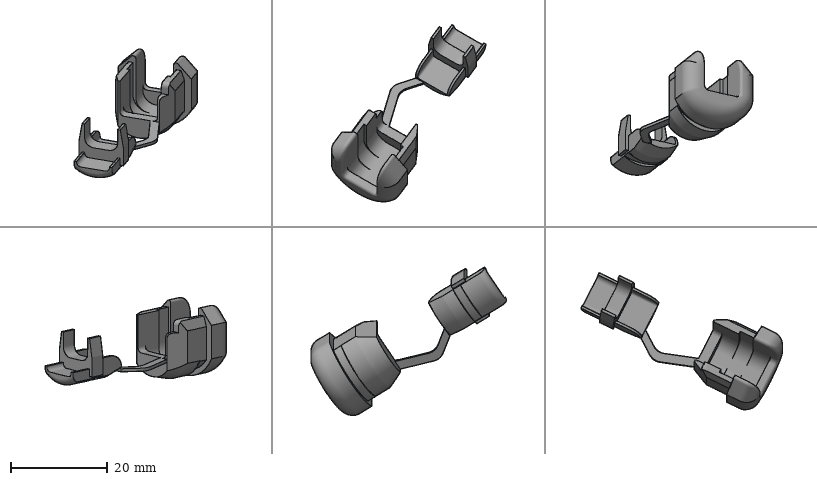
import cadquery as cq
import math


flange_front = 5.95
socket_taper_start = 11.4
socket_front = 15.3
plug_rear = 27.85
plug_taper_end = 31.3
wing_rear = 33.9
wing_front = 37.05
plug_front = 41.75

flange_half_width = 8.15
shoulder_z = 12.02
flange_arc_radius = 8.98
flange_arc_x = 0.15
left_corner_radius = 3.2
flange_round = 2.95
slot_edge_radius = 0.6

socket_half_width = 6.65
socket_top_half_width = 5.85
socket_front_half_width = 4.6
socket_top = 13.6
socket_chamfer_z = 11.5
socket_axis_z = 7.47
socket_radius = 7.25
socket_front_radius = 6.25
socket_groove_front = 7.85
socket_groove_z = 1.2
socket_groove_radius = 8.5

channel_half_width = 4.18
channel_radius = 1.0
cavity_floor = 2.6
cavity_rear = 1.95
cavity_front = 13.15
cavity_flat_half_width = 1.2
recess_half_width = 4.85
recess_front = 9.3

notch_depth = 13.05
notch_z = 11.2
notch_radius = 1.0

strap_bottom = 5.0
strap_thickness = 0.65
strap_top = strap_bottom + strap_thickness
strap_width_x = 2.0
strap_rear_x = 2.55
strap_bend_x = 5.25
strap_bend_depth = 23.5
strap_front_x = 2.05
strap_bend_radius = 2.92

plug_half_width = 4.2
plug_inner_half_width = 3.67
plug_axis_z = 11.2
plug_radius = 7.47
plug_rear_radius = 6.55
plug_nose_radius = 1.4
plug_floor = 6.1
plug_rear_top = 8.95
plug_front_top = 7.2
plug_rear_round = 2.95
plug_rear_fillet = 0.45
plug_front_fillet = 0.95
plug_groove_front = 35.75
plug_groove_z = 4.25
plug_groove_radius = 11.2

wing_half_width = 4.93
wing_top_half_width = 4.25
wing_bottom = 5.55
wing_kink_z = 9.73
wing_top = 13.7
wing_floor = 8.55
wing_fillet = 2.0

reach = 25.05


def section(depth):
    """Cross-section plane (X right, Z up) at a depth; extrusion goes towards -Y."""
    return cq.Workplane("XZ", origin=(0, -depth, 0))


def block(half_width, bottom, top, rear, front):
    return (
        section(rear)
        .center(0, (bottom + top) / 2)
        .rect(2 * half_width, top - bottom)
        .extrude(front - rear)
    )


def trough(half_width, floor, corner_radius, rear, front):
    """Upward-open cutter with rounded floor corners."""
    return block(half_width, floor, reach, rear, front).edges("|Y and <Z").fillet(corner_radius)


def turned(axis_z, profile):
    """Solid of revolution about a Y-parallel axis; profile holds (radius, depth) pairs."""
    points = [(radius, -depth) for radius, depth in profile]
    rear_centre = (0, points[0][1])
    front_centre = (0, points[-1][1])
    return (
        cq.Workplane("XY", origin=(0, 0, axis_z))
        .polyline([rear_centre] + points + [front_centre])
        .close()
        .revolve(360, (0, 0, 0), (0, 1, 0))
    )


def belly_groove(bottom, radius, rear, front):
    """Cutter removing everything below a wide arc whose lowest point is at bottom."""
    arc = section(rear).center(0, bottom + radius).circle(radius).extrude(front - rear)
    return block(reach, -reach, bottom + radius, rear, front).cut(arc)


def make_flange():
    arc_bottom = (flange_arc_x, 0)

    def arc_z(x):
        return flange_arc_radius - math.sqrt(flange_arc_radius**2 - (x - flange_arc_x) ** 2)

    right_corner = (flange_half_width, arc_z(flange_half_width))
    left_corner = (-flange_half_width, arc_z(-flange_half_width))
    flange = (
        section(0)
        .moveTo(*left_corner)
        .threePointArc(arc_bottom, right_corner)
        .lineTo(flange_half_width, shoulder_z)
        .lineTo(0, shoulder_z + flange_half_width)
        .lineTo(-flange_half_width, shoulder_z)
        .close()
        .extrude(flange_front)
    )
    left_edge = cq.selectors.NearestToPointSelector((left_corner[0], -flange_front / 2, left_corner[1]))
    flange = flange.edges("|Y").edges(left_edge).fillet(left_corner_radius)
    flange = flange.faces(">Y").edges().fillet(flange_round)
    flange = flange.cut(trough(channel_half_width, strap_top, channel_radius, 0, flange_front))
    return flange.edges(">Z").fillet(slot_edge_radius)


def make_socket():
    upper = [
        (socket_half_width, 0),
        (socket_half_width, socket_chamfer_z),
        (socket_top_half_width, socket_top),
    ]
    mirrored = [(-x, z) for x, z in reversed(upper)]
    socket = section(flange_front).polyline(upper + mirrored).close().extrude(socket_front - flange_front)

    plan = [
        (socket_half_width, -flange_front),
        (socket_half_width, -socket_taper_start),
        (socket_front_half_width, -socket_front),
    ]
    plan_mirrored = [(-x, y) for x, y in reversed(plan)]
    socket = socket.intersect(cq.Workplane("XY").polyline(plan + plan_mirrored).close().extrude(reach))

    neck = (
        section(flange_front)
        .center(0, socket_groove_z + socket_groove_radius)
        .circle(socket_groove_radius)
        .extrude(socket_groove_front - flange_front)
    )
    belly = turned(
        socket_axis_z,
        [
            (socket_radius, socket_groove_front),
            (socket_radius, socket_taper_start),
            (socket_front_radius, socket_front),
        ],
    ).union(block(reach, socket_axis_z, reach, socket_groove_front, socket_front)).union(neck)
    return socket.intersect(belly)


def cut_interior(body):
    """Cable channel over the end walls, the deep cavity and its wider middle recess."""
    cavity_radius = channel_half_width - cavity_flat_half_width
    recess_radius = recess_half_width - cavity_flat_half_width
    body = body.cut(trough(channel_half_width, strap_top, channel_radius, 0, socket_front))
    body = body.cut(trough(channel_half_width, cavity_floor, cavity_radius, cavity_rear, cavity_front))
    return body.cut(trough(recess_half_width, cavity_floor, recess_radius, flange_front, recess_front))


def cut_wall_notch(body):
    """Step at the front of the right-hand wall, with both outer corners rounded."""
    step = (
        cq.Workplane("YZ")
        .moveTo(-notch_depth + notch_radius, socket_top)
        .radiusArc((-notch_depth, socket_top - notch_radius), -notch_radius)
        .lineTo(-notch_depth, notch_z)
        .lineTo(-socket_front + notch_radius, notch_z)
        .radiusArc((-socket_front, notch_z - notch_radius), -notch_radius)
        .lineTo(-socket_front, socket_top)
        .close()
        .extrude(reach)
    )
    return body.cut(step)


def make_strap():
    left = [
        (strap_rear_x, -socket_front),
        (strap_bend_x, -strap_bend_depth),
        (strap_front_x, -plug_rear),
    ]
    right = [(x + strap_width_x, y) for x, y in reversed(left)]
    strap = (
        cq.Workplane("XY", origin=(0, 0, strap_bottom)).polyline(left + right).close().extrude(strap_thickness)
    )
    for bend_x in (strap_bend_x, strap_bend_x + strap_width_x):
        bend = cq.selectors.NearestToPointSelector((bend_x, -strap_bend_depth, strap_bottom))
        strap = strap.edges("|Z").edges(bend).fillet(strap_bend_radius)
    return strap


def make_plug():
    rear_part = block(plug_half_width, 0, plug_rear_top, plug_rear, wing_front)
    rear_part = rear_part.edges("|X and >Y and >Z").fillet(plug_rear_round)
    plug = rear_part.union(block(plug_half_width, 0, plug_front_top, wing_rear, plug_front))
    belly = turned(
        plug_axis_z,
        [(plug_rear_radius, plug_rear), (plug_radius, plug_taper_end), (plug_radius, plug_front)],
    )
    belly = belly.faces("<Y").edges().fillet(plug_nose_radius)
    plug = plug.intersect(belly)
    plug = plug.cut(trough(plug_inner_half_width, plug_floor, plug_rear_fillet, plug_rear, wing_rear))
    plug = plug.cut(trough(plug_inner_half_width, plug_floor, plug_front_fillet, wing_front, plug_front))
    plug = plug.union(make_wings())
    plug = plug.cut(trough(plug_inner_half_width, wing_floor, wing_fillet, wing_rear, wing_front))
    return plug.cut(belly_groove(plug_groove_z, plug_groove_radius, wing_rear, plug_groove_front))


def make_wings():
    side = [
        (wing_half_width, wing_bottom),
        (wing_half_width, wing_kink_z),
        (wing_top_half_width, wing_top),
    ]
    mirrored = [(-x, z) for x, z in reversed(side)]
    return section(wing_rear).polyline(side + mirrored).close().extrude(wing_front - wing_rear)


body = cut_interior(make_flange().union(make_socket()))
body = cut_wall_notch(body)
result = body.union(make_strap()).union(make_plug())